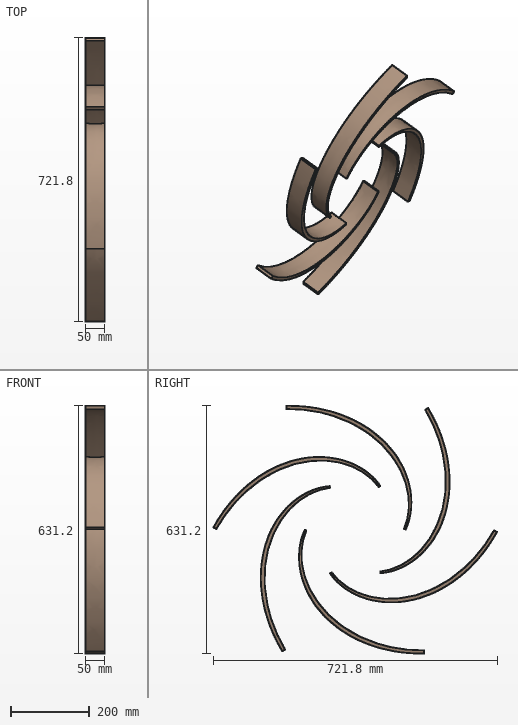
import cadquery as cq
import math

BLADE_COUNT = 6
BLADE_WIDTH = 50.0

INNER_RADIUS = 126.0
OUTER_RADIUS = 357.0
OUTER_ANGLE = 119.4
SWEEP_SLOPE = 105.0
SWEEP_CHANGE = -9.0

INNER_THICKNESS = 5.0
FULL_THICKNESS = 10.0
OUTER_THICKNESS = 9.0
GROWTH_END_RADIUS = 209.0
EASING_START_RADIUS = 274.0

SPLINE_SPANS = 12


def log_ratio(radius):
    """Return the logarithm of a radius relative to the outer end."""
    return math.log(radius / OUTER_RADIUS)


def polar_angle(radius):
    """Return the polar angle of the spiral at a radius, in radians."""
    ratio = log_ratio(radius)
    return math.radians(OUTER_ANGLE + SWEEP_SLOPE * ratio + SWEEP_CHANGE * ratio**2)


def centreline_point(radius):
    """Return the (Y, Z) point of the spiral at a radius."""
    angle = polar_angle(radius)
    return radius * math.cos(angle), radius * math.sin(angle)


def convex_normal(radius):
    """Return the unit normal of the spiral on its convex side."""
    turn_rate = math.radians(SWEEP_SLOPE + 2 * SWEEP_CHANGE * log_ratio(radius))
    angle = polar_angle(radius) + math.atan(turn_rate) - math.pi / 2
    return math.cos(angle), math.sin(angle)


def thickness_at(radius):
    """Return the blade thickness at a radius."""
    if radius < GROWTH_END_RADIUS:
        growth = (radius - INNER_RADIUS) / (GROWTH_END_RADIUS - INNER_RADIUS)
        return INNER_THICKNESS + (FULL_THICKNESS - INNER_THICKNESS) * growth
    if radius > EASING_START_RADIUS:
        easing = (radius - EASING_START_RADIUS) / (OUTER_RADIUS - EASING_START_RADIUS)
        return FULL_THICKNESS + (OUTER_THICKNESS - FULL_THICKNESS) * easing
    return FULL_THICKNESS


def face_points(side):
    """Return points from inner to outer end; side is +1 for convex, -1 for concave."""
    growth = OUTER_RADIUS / INNER_RADIUS
    points = []
    for step in range(SPLINE_SPANS + 1):
        radius = INNER_RADIUS * growth ** (step / SPLINE_SPANS)
        y, z = centreline_point(radius)
        normal_y, normal_z = convex_normal(radius)
        offset = side * thickness_at(radius) / 2
        points.append((y + offset * normal_y, z + offset * normal_z))
    return points


def make_blade(position):
    """Build one blade, turned about X to its place in the ring."""
    convex = face_points(1)
    concave = face_points(-1)
    blade = (
        cq.Workplane("YZ", origin=(-BLADE_WIDTH / 2, 0, 0))
        .moveTo(*convex[0])
        .spline(convex[1:], includeCurrent=True)
        .lineTo(*concave[-1])
        .spline(concave[-2::-1], includeCurrent=True)
        .close()
        .extrude(BLADE_WIDTH)
    )
    return blade.rotate((0, 0, 0), (1, 0, 0), position * 360 / BLADE_COUNT)


blades = [make_blade(position) for position in range(BLADE_COUNT)]

result = cq.Compound.makeCompound([blade.val() for blade in blades])